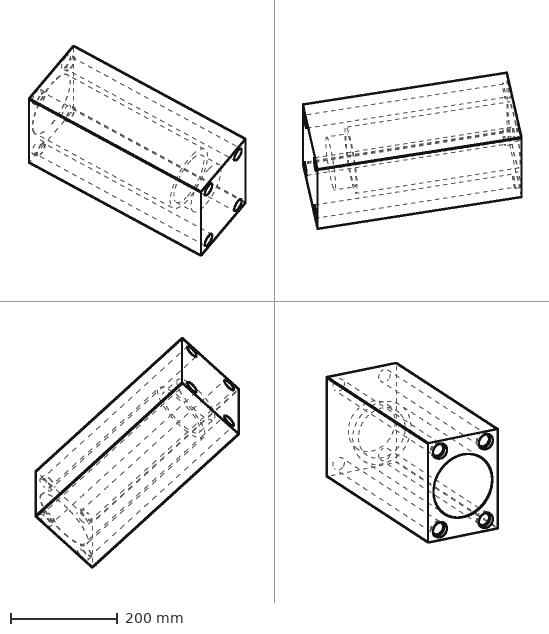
import cadquery as cq

length = 388.0
width = 150.0
height = 200.0
edge_chamfer = 1.0

bore_diameter = 125.0
bore_depth = 310.5
bore_mouth_chamfer = 0.8
inner_bore_diameter = 100.0
inner_bore_depth = 349.2

bolt_spacing_y = 98.0
bolt_spacing_z = 158.0
bolt_hole_diameter = 25.0
counterbore_diameter = 30.0
counterbore_depth = 10.0


def cylinder_from_front(diameter, depth, y=0.0, z=0.0):
    """Cylinder starting on the -X face and reaching into the block."""
    start = cq.Vector(-length / 2, y, z)
    return cq.Workplane(cq.Solid.makeCylinder(diameter / 2, depth, start, cq.Vector(1, 0, 0)))


def make_block():
    return cq.Workplane("XY").box(length, width, height).edges("|X").chamfer(edge_chamfer)


def make_main_bore():
    mouth = cq.Solid.makeCone(
        bore_diameter / 2 + bore_mouth_chamfer,
        bore_diameter / 2,
        bore_mouth_chamfer,
        cq.Vector(-length / 2, 0, 0),
        cq.Vector(1, 0, 0),
    )
    bore = cylinder_from_front(bore_diameter, bore_depth)
    inner_bore = cylinder_from_front(inner_bore_diameter, inner_bore_depth)
    return bore.union(inner_bore).union(cq.Workplane(mouth))


def make_bolt_hole(y, z):
    through_hole = cylinder_from_front(bolt_hole_diameter, length, y, z)
    counterbore = cylinder_from_front(counterbore_diameter, counterbore_depth, y, z)
    return through_hole.union(counterbore)


result = make_block().cut(make_main_bore())
for side_y in (-1, 1):
    for side_z in (-1, 1):
        result = result.cut(make_bolt_hole(side_y * bolt_spacing_y / 2, side_z * bolt_spacing_z / 2))